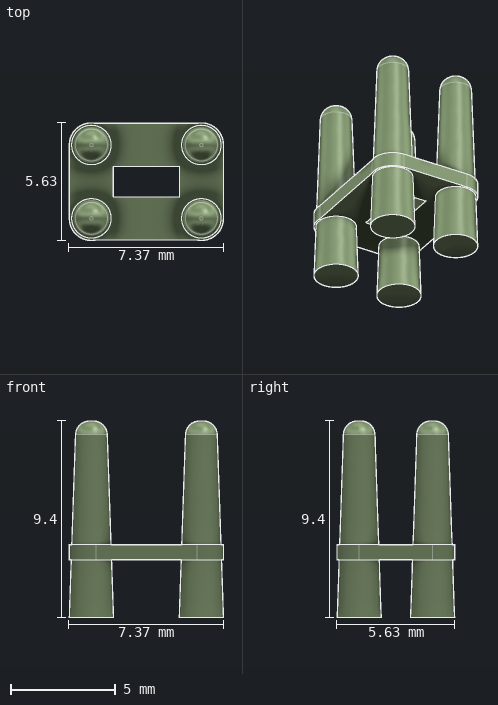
import cadquery as cq
import math

total_height = 9.4
peg_base_radius = 1.06
peg_tip_radius = 0.74
tip_fillet = 0.69
peg_spacing_x = 5.25
peg_spacing_y = 3.51

plate_bottom = 2.75
plate_thickness = 0.73
corner_chord_offset = 0.22
window_length = 3.16
window_width = 1.45

peg_centers = [
    (side_x * peg_spacing_x / 2, side_y * peg_spacing_y / 2)
    for side_x in (-1, 1)
    for side_y in (-1, 1)
]


def make_peg():
    """Cone frustum with a rounded tip, standing on the origin."""
    profile = [
        (0, 0),
        (peg_base_radius, 0),
        (peg_tip_radius, total_height),
        (0, total_height),
    ]
    cone = cq.Workplane("XZ").polyline(profile).close().revolve(360, (0, 0), (0, 1))
    return cone.faces(">Z").edges().fillet(tip_fillet)


def make_plate():
    """Two crossed bars plus a disc around each peg, pierced by the window."""
    edge_to_peg_axis = math.sqrt(peg_base_radius**2 - corner_chord_offset**2)
    plate_length = peg_spacing_x + 2 * peg_base_radius
    plate_width = peg_spacing_y + 2 * edge_to_peg_axis
    base = cq.Workplane("XY").workplane(offset=plate_bottom)
    long_bar = base.rect(plate_length, peg_spacing_y).extrude(plate_thickness)
    cross_bar = base.rect(peg_spacing_x, plate_width).extrude(plate_thickness)
    discs = base.pushPoints(peg_centers).circle(peg_base_radius).extrude(plate_thickness)
    window = base.rect(window_length, window_width).extrude(plate_thickness)
    return long_bar.union(cross_bar).union(discs).cut(window)


result = make_plate()
for center_x, center_y in peg_centers:
    result = result.union(make_peg().translate((center_x, center_y, 0)))